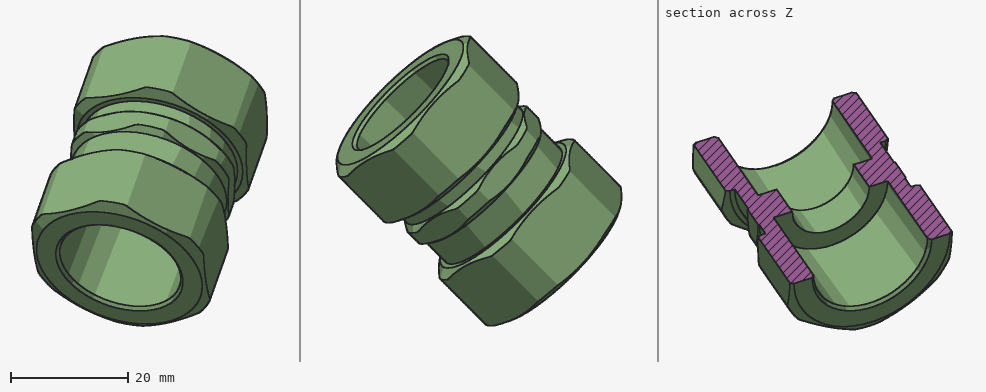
import cadquery as cq
import math

length = 39.25
front_y = -length / 2
back_y = length / 2

nut_length = 13.55
nut_corner_radius = 16.52
nut_apothem = 15.3
nut_blend_radius = 2.0
nut_face_radius = 14.7
nut_bevel_length = 1.02
front_nut_turn = 5.4
back_nut_turn = 1.8

body_diameter = 27.6
collar_length = 4.55
collar_back_offset = 15.85
collar_corner_radius = 14.9
collar_apothem = 13.95
collar_blend_radius = 3.0
collar_bevel_length = 0.9

socket_diameter = 21.5
socket_depth = 16.5
stop_bore_diameter = 14.5
mouth_diameter = 22.55
mouth_bevel_length = 0.6


def cylinder(diameter, start_y, depth):
    """Cylinder about the Y axis, reaching from start_y toward +Y."""
    return cq.Workplane("XZ", origin=(0, start_y, 0)).circle(diameter / 2).extrude(-depth)


def turned(profile):
    """Solid of revolution about Y from a closed (radius, y) outline."""
    return cq.Workplane("XY").polyline(profile).close().revolve(360, (0, 0, 0), (0, 1, 0))


def polar_point(radius, angle):
    return (radius * math.cos(math.radians(angle)), radius * math.sin(math.radians(angle)))


def rounded_hexagon(start_y, depth, corner_radius, apothem, blend_radius, turn):
    """Hexagonal prism whose corners are arcs about the axis, blended into the flats."""
    blend_center_radius = corner_radius - blend_radius
    blend_end = math.degrees(math.acos((apothem - blend_radius) / blend_center_radius))
    half_flat = blend_center_radius * math.sin(math.radians(blend_end))
    flat_end_radius = math.hypot(apothem, half_flat)
    flat_end = math.degrees(math.atan2(half_flat, apothem))

    def blend_middle(flat_angle, side):
        center_x, center_z = polar_point(blend_center_radius, flat_angle + side * blend_end)
        offset_x, offset_z = polar_point(blend_radius, flat_angle + side * blend_end / 2)
        return (center_x + offset_x, center_z + offset_z)

    outline = cq.Workplane("XZ", origin=(0, start_y, 0))
    outline = outline.moveTo(*polar_point(flat_end_radius, turn - flat_end))
    for index in range(6):
        flat = turn + 60 * index
        next_flat = flat + 60
        outline = (
            outline.lineTo(*polar_point(flat_end_radius, flat + flat_end))
            .threePointArc(blend_middle(flat, 1), polar_point(corner_radius, flat + blend_end))
            .threePointArc(
                polar_point(corner_radius, flat + 30),
                polar_point(corner_radius, next_flat - blend_end),
            )
            .threePointArc(
                blend_middle(next_flat, -1), polar_point(flat_end_radius, next_flat - flat_end)
            )
        )
    return outline.close().extrude(-depth)


def beveled_hexagon(start_y, depth, corner_radius, apothem, blend_radius, turn, face_radius, bevel):
    """Rounded hexagon with a conical bevel at both ends."""
    end_y = start_y + depth
    envelope = turned([
        (0, start_y),
        (face_radius, start_y),
        (corner_radius, start_y + bevel),
        (corner_radius, end_y - bevel),
        (face_radius, end_y),
        (0, end_y),
    ])
    prism = rounded_hexagon(start_y, depth, corner_radius, apothem, blend_radius, turn)
    return prism.intersect(envelope)


def nut(start_y, turn):
    return beveled_hexagon(
        start_y, nut_length, nut_corner_radius, nut_apothem, nut_blend_radius, turn,
        nut_face_radius, nut_bevel_length,
    )


def mouth_bevel(outer_y, inward):
    """Cone that opens a socket mouth; inward is the Y direction into the part."""
    return turned([
        (0, outer_y),
        (mouth_diameter / 2, outer_y),
        (socket_diameter / 2, outer_y + inward * mouth_bevel_length),
        (0, outer_y + inward * mouth_bevel_length),
    ])


front_nut_inner_y = front_y + nut_length
back_nut_inner_y = back_y - nut_length
front_nut = nut(front_y, front_nut_turn)
back_nut = nut(back_nut_inner_y, back_nut_turn)

body_overlap = nut_length / 2
body = cylinder(
    body_diameter, front_nut_inner_y - body_overlap, length - 2 * nut_length + 2 * body_overlap
)
collar = beveled_hexagon(
    back_y - collar_back_offset - collar_length, collar_length, collar_corner_radius,
    collar_apothem, collar_blend_radius, 0, body_diameter / 2, collar_bevel_length,
)
fitting = front_nut.union(body).union(back_nut).union(collar)

fitting = fitting.cut(cylinder(stop_bore_diameter, front_y, length))
fitting = fitting.cut(cylinder(socket_diameter, front_y, socket_depth))
fitting = fitting.cut(cylinder(socket_diameter, back_y - socket_depth, socket_depth))
fitting = fitting.cut(mouth_bevel(front_y, 1))
result = fitting.cut(mouth_bevel(back_y, -1))